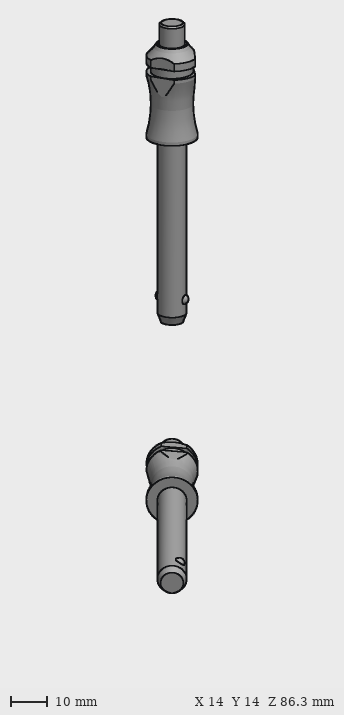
import cadquery as cq
import math

total_length = 86.3
grip_height = 19.0
groove_height = 2.5
flange_height = 2.2
cap_height = 3.3
button_height = 6.1
head_height = grip_height + groove_height + flange_height + cap_height + button_height
shank_length = total_length - head_height

head_radius = 7.0
waist_radius = 5.8
grip_land = 1.0
waist_height = 9.7
cap_top_radius = 4.3
cap_edge_radius = 4.95
cap_edge_drop = 1.0
recess_radius = 4.0
recess_depth = 0.1

flat_count = 3
flat_distance = 6.06
first_flat_angle = -90.0

button_radius = 3.5
button_chamfer = 0.5

shank_radius = 4.0
tip_radius = 3.1
tip_height = 2.5
ball_radius = 1.5
ball_reach = 4.85
ball_tip_distance = 6.9

groove_top = grip_height + groove_height
flange_top = groove_top + flange_height
cap_top = flange_top + cap_height
recess_floor = cap_top - recess_depth
grip_shoulder = grip_height - grip_land
shank_end = -shank_length


def waist_arc_point(height, end_height):
    """Point on the arc that leaves the waist tangentially and meets the land at end_height."""
    rise = abs(end_height - waist_height)
    flare = head_radius - waist_radius
    arc_radius = (rise**2 + flare**2) / (2 * flare)
    offset = height - waist_height
    return (waist_radius + arc_radius - math.sqrt(arc_radius**2 - offset**2), height)


def make_head():
    """Turned grip with a concave waist, a groove, a flange and a conical cap with a shallow recess."""
    lower_middle = (grip_land + waist_height) / 2
    upper_middle = (waist_height + grip_shoulder) / 2
    profile = (
        cq.Workplane("XZ")
        .moveTo(0, 0)
        .lineTo(head_radius, 0)
        .lineTo(head_radius, grip_land)
        .threePointArc(waist_arc_point(lower_middle, grip_land), (waist_radius, waist_height))
        .threePointArc(waist_arc_point(upper_middle, grip_shoulder), (head_radius, grip_shoulder))
        .lineTo(head_radius, grip_height)
        .lineTo(waist_radius, grip_height)
        .lineTo(waist_radius, groove_top)
        .lineTo(head_radius, groove_top)
        .lineTo(head_radius, flange_top)
        .lineTo(cap_edge_radius, cap_top - cap_edge_drop)
        .lineTo(cap_top_radius, cap_top)
        .lineTo(recess_radius, cap_top)
        .lineTo(recess_radius, recess_floor)
        .lineTo(0, recess_floor)
        .close()
    )
    return profile.revolve(360, (0, 0, 0), (0, 1, 0))


def cut_flats(head):
    """Cut equally spaced vertical flats from the waist up through the cap."""
    cutter_size = 2 * head_radius
    cutter = (
        cq.Workplane("XY")
        .workplane(offset=waist_height)
        .center(flat_distance + cutter_size / 2, 0)
        .rect(cutter_size, cutter_size)
        .extrude(cap_top - waist_height)
    )
    for index in range(flat_count):
        angle = first_flat_angle + index * 360 / flat_count
        head = head.cut(cutter.rotate((0, 0, 0), (0, 0, 1), angle))
    return head


def make_button():
    """Cylindrical push button with a chamfered top edge, standing on the recess floor."""
    return (
        cq.Workplane("XY")
        .workplane(offset=recess_floor)
        .circle(button_radius)
        .extrude(button_height + recess_depth)
        .faces(">Z")
        .edges()
        .chamfer(button_chamfer)
    )


def make_shank():
    """Plain shank with a tapered tip."""
    tip_start = shank_end + tip_height
    profile = (
        cq.Workplane("XZ")
        .moveTo(0, 0)
        .lineTo(shank_radius, 0)
        .lineTo(shank_radius, tip_start)
        .lineTo(tip_radius, shank_end)
        .lineTo(0, shank_end)
        .close()
    )
    return profile.revolve(360, (0, 0, 0), (0, 1, 0))


def make_ball(side):
    """Locking ball standing out of the shank on the given X side."""
    center = (side * (ball_reach - ball_radius), 0, shank_end + ball_tip_distance)
    return cq.Workplane("XY").sphere(ball_radius).translate(center)


result = cut_flats(make_head()).union(make_button()).union(make_shank())
for side in (-1, 1):
    result = result.union(make_ball(side))